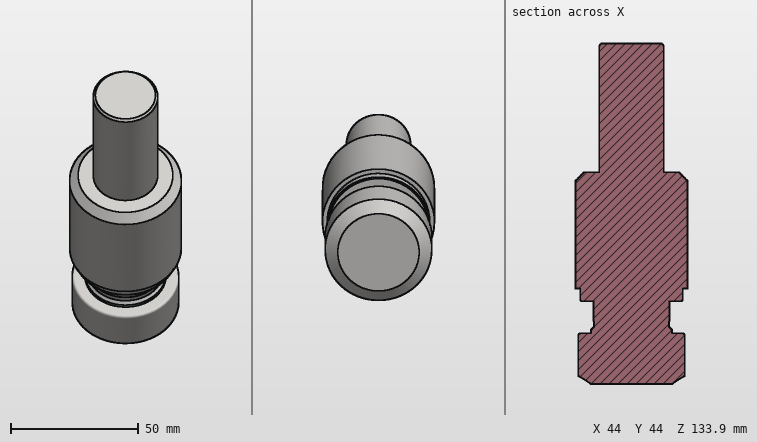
import cadquery as cq
import math

HEAD_DIAMETER = 42.0
HEAD_BOTTOM_DIAMETER = 32.0
FLANGE_DIAMETER = 32.05
GROOVE_DIAMETER = 29.66
NECK_DIAMETER = 30.06
COLLAR_DIAMETER = 40.39
BODY_DIAMETER = 44.03
SHANK_DIAMETER = 25.39

HEAD_TOP = 20.0
FLANGE_TOP = 21.3
GROOVE_BOTTOM = FLANGE_TOP + (FLANGE_DIAMETER - GROOVE_DIAMETER) / 2
GROOVE_TOP = 24.6
COLLAR_BOTTOM = 32.5
BODY_BOTTOM = 37.5
BODY_TOP = 83.3
TOTAL_HEIGHT = 133.9

HEAD_BOTTOM_BEVEL_HEIGHT = 3.2
HEAD_TOP_ROUND = 1.0
NECK_BEVEL_HEIGHT = 0.4
COLLAR_BEVEL = 0.5
BODY_BEVEL = 3.4
SHANK_BEVEL = 0.9


def outline_head(outline):
    """Bevelled at the bottom, rounded at the top edge."""
    radius = HEAD_DIAMETER / 2
    arc_offset = HEAD_TOP_ROUND * (1 - math.sqrt(0.5))
    return (
        outline.lineTo(HEAD_BOTTOM_DIAMETER / 2, 0)
        .lineTo(radius, HEAD_BOTTOM_BEVEL_HEIGHT)
        .lineTo(radius, HEAD_TOP - HEAD_TOP_ROUND)
        .threePointArc(
            (radius - arc_offset, HEAD_TOP - arc_offset),
            (radius - HEAD_TOP_ROUND, HEAD_TOP),
        )
    )


def outline_flange_and_neck(outline):
    """Thin flange on the head, tapering to a shallow groove below the neck."""
    return (
        outline.lineTo(FLANGE_DIAMETER / 2, HEAD_TOP)
        .lineTo(FLANGE_DIAMETER / 2, FLANGE_TOP)
        .lineTo(GROOVE_DIAMETER / 2, GROOVE_BOTTOM)
        .lineTo(GROOVE_DIAMETER / 2, GROOVE_TOP)
        .lineTo(NECK_DIAMETER / 2, GROOVE_TOP + NECK_BEVEL_HEIGHT)
        .lineTo(NECK_DIAMETER / 2, COLLAR_BOTTOM)
    )


def outline_collar_and_body(outline):
    """Collar bevelled below, wider body bevelled above."""
    return (
        outline.lineTo(COLLAR_DIAMETER / 2 - COLLAR_BEVEL, COLLAR_BOTTOM)
        .lineTo(COLLAR_DIAMETER / 2, COLLAR_BOTTOM + COLLAR_BEVEL)
        .lineTo(COLLAR_DIAMETER / 2, BODY_BOTTOM)
        .lineTo(BODY_DIAMETER / 2, BODY_BOTTOM)
        .lineTo(BODY_DIAMETER / 2, BODY_TOP - BODY_BEVEL)
        .lineTo(BODY_DIAMETER / 2 - BODY_BEVEL, BODY_TOP)
    )


def outline_shank(outline):
    """Plain shank with a bevelled end, finishing on the axis."""
    return (
        outline.lineTo(SHANK_DIAMETER / 2, BODY_TOP)
        .lineTo(SHANK_DIAMETER / 2, TOTAL_HEIGHT - SHANK_BEVEL)
        .lineTo(SHANK_DIAMETER / 2 - SHANK_BEVEL, TOTAL_HEIGHT)
        .lineTo(0, TOTAL_HEIGHT)
    )


half_section = cq.Workplane("XZ").moveTo(0, 0)
half_section = outline_head(half_section)
half_section = outline_flange_and_neck(half_section)
half_section = outline_collar_and_body(half_section)
half_section = outline_shank(half_section)

result = half_section.close().revolve(360, (0, 0, 0), (0, 1, 0))